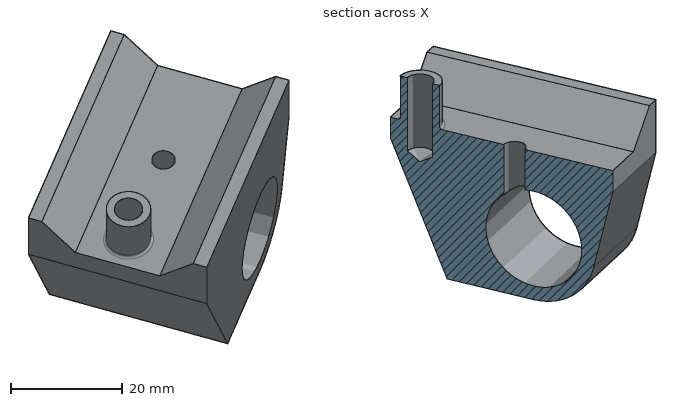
import cadquery as cq
import math

width = 34.0
length = 45.0
body_height = 36.68
upright_base = 25.9
front_base_inset = 11.45

bore_diameter = 19.25
corner_radius = 12.5
bore_y = length - 16.0
bore_z = corner_radius

groove_floor_width = 16.1
groove_depth = 6.4
floor_z = body_height - groove_depth

pin_y = 6.0
pin_diameter = 8.0
pin_top = 39.2
pin_fillet = 0.5
pin_bore_diameter = 5.05
pin_bore_depth = 15.0
drill_point_angle = 118.0

floor_hole_y = 25.05
floor_hole_diameter = 4.2


def corner_point(angle):
    """Point (y, z) on the rounded lower back corner."""
    return (
        bore_y + corner_radius * math.cos(angle),
        bore_z + corner_radius * math.sin(angle),
    )


def make_block():
    rise = upright_base - bore_z
    reach = length - bore_y
    tangent_angle = math.atan2(rise, reach) - math.acos(corner_radius / math.hypot(rise, reach))
    base_angle = -math.pi / 2
    middle_angle = (tangent_angle + base_angle) / 2
    return (
        cq.Workplane("YZ")
        .moveTo(front_base_inset, 0)
        .lineTo(*corner_point(base_angle))
        .threePointArc(corner_point(middle_angle), corner_point(tangent_angle))
        .lineTo(length, upright_base)
        .lineTo(length, body_height)
        .lineTo(0, body_height)
        .lineTo(0, upright_base)
        .close()
        .extrude(width / 2, both=True)
    )


def make_groove():
    half_floor = groove_floor_width / 2
    half_top = half_floor + groove_depth
    return (
        cq.Workplane("XZ")
        .polyline([
            (-half_floor, floor_z),
            (half_floor, floor_z),
            (half_top, body_height),
            (-half_top, body_height),
        ])
        .close()
        .extrude(-length)
    )


def make_cross_bore():
    return (
        cq.Workplane("YZ")
        .center(bore_y, bore_z)
        .circle(bore_diameter / 2)
        .extrude(width / 2, both=True)
    )


def make_pin():
    """Half section revolved about the pin axis, with a concave fillet at its foot."""
    radius = pin_diameter / 2
    foot_radius = radius + pin_fillet
    fillet_top = floor_z + pin_fillet
    arc_offset = pin_fillet * math.sqrt(0.5)
    root_z = floor_z - pin_fillet
    return (
        cq.Workplane("XZ", origin=(0, pin_y, 0))
        .moveTo(0, root_z)
        .lineTo(foot_radius, root_z)
        .lineTo(foot_radius, floor_z)
        .threePointArc((foot_radius - arc_offset, fillet_top - arc_offset), (radius, fillet_top))
        .lineTo(radius, pin_top)
        .lineTo(0, pin_top)
        .close()
        .revolve(360, (0, 0), (0, 1))
    )


def make_pin_bore():
    radius = pin_bore_diameter / 2
    cone_z = pin_top - pin_bore_depth
    tip_z = cone_z - radius / math.tan(math.radians(drill_point_angle / 2))
    return (
        cq.Workplane("XZ", origin=(0, pin_y, 0))
        .polyline([(0, tip_z), (radius, cone_z), (radius, pin_top), (0, pin_top)])
        .close()
        .revolve(360, (0, 0), (0, 1))
    )


def make_floor_hole():
    return (
        cq.Workplane("XY", origin=(0, floor_hole_y, bore_z))
        .circle(floor_hole_diameter / 2)
        .extrude(floor_z - bore_z)
    )


block = make_block().cut(make_groove()).cut(make_cross_bore()).cut(make_floor_hole())
result = block.union(make_pin()).cut(make_pin_bore())